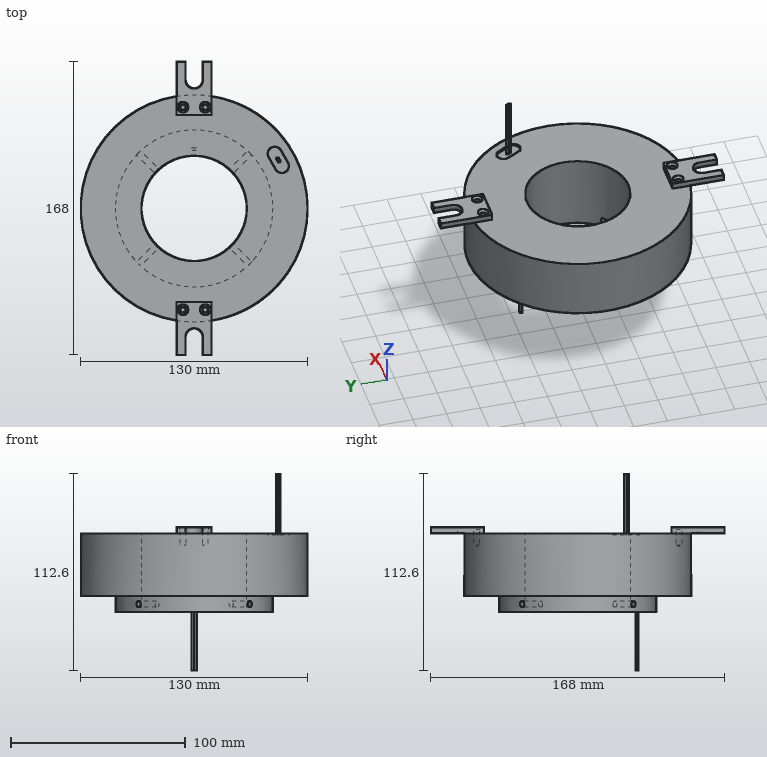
import cadquery as cq
import math

housing_radius = 65.0
housing_height = 36.0
flange_radius = 45.0
flange_height = 9.0
bore_radius = 30.0

tab_reach = 84
tab_inner_edge = 53.6
tab_width = 20.0
tab_thickness = 3.5
tab_slot_width = 9.7
tab_slot_end = 68.7

screw_spacing = 12.8
screw_distance = 58.0
screw_diameter = 3.2
screw_head_diameter = 6.0
screw_head_angle = 90
screw_depth = 10
drill_tip_angle = 118

set_screw_diameter = 3.4
set_screw_z = -flange_height / 2
set_screw_angles = (45, 135, 225, 315)

core_diameter = 1.6
core_spacing = 1.56
upper_lead_length = 34.0
lower_lead_length = 33.6
upper_lead_distance = 55.6
upper_lead_angle = 30
lower_lead_distance = 34.0
lower_lead_angle = 90

outlet_width = 8.0
outlet_length = 2 * outlet_width
outlet_depth = 1.0

tab_top = housing_height + tab_thickness
flange_bottom = -flange_height


def turn(shape, angle):
    """Swing a shape about the housing axis."""
    return shape.rotate((0, 0, 0), (0, 0, 1), angle)


def disc(radius, bottom, height):
    return cq.Workplane("XY").workplane(offset=bottom).circle(radius).extrude(height)


def make_housing():
    body = disc(housing_radius, 0, housing_height)
    body = body.union(disc(flange_radius, flange_bottom, flange_height))
    return body.cut(disc(bore_radius, flange_bottom, flange_height + housing_height))


def make_tab():
    """Tab on the +Y side, resting on the housing top, with an open-ended round-bottomed slot."""
    length = tab_reach - tab_inner_edge
    tab = (
        cq.Workplane("XY")
        .workplane(offset=housing_height)
        .center(0, (tab_reach + tab_inner_edge) / 2)
        .rect(tab_width, length)
        .extrude(tab_thickness)
    )
    half_slot = tab_slot_width / 2
    slot = (
        cq.Workplane("XY")
        .workplane(offset=housing_height)
        .moveTo(-half_slot, tab_reach)
        .lineTo(-half_slot, tab_slot_end + half_slot)
        .threePointArc((0, tab_slot_end), (half_slot, tab_slot_end + half_slot))
        .lineTo(half_slot, tab_reach)
        .close()
        .extrude(tab_thickness)
    )
    return tab.cut(slot)


def make_screw_hole(x):
    """Countersunk blind hole with a drill-point bottom, on the +Y tab."""
    radius = screw_diameter / 2
    head_radius = screw_head_diameter / 2
    head_depth = (head_radius - radius) / math.tan(math.radians(screw_head_angle / 2))
    tip_depth = radius / math.tan(math.radians(drill_tip_angle / 2))
    profile = (
        cq.Workplane("XZ")
        .moveTo(0, 0)
        .lineTo(head_radius, 0)
        .lineTo(radius, -head_depth)
        .lineTo(radius, -screw_depth)
        .lineTo(0, -screw_depth - tip_depth)
        .close()
    )
    return profile.revolve(360, (0, 0), (0, 1)).translate((x, screw_distance, tab_top))


def make_set_screw_hole(angle):
    """Radial hole from the bore through the flange wall."""
    hole = (
        cq.Workplane("YZ")
        .center(0, set_screw_z)
        .circle(set_screw_diameter / 2)
        .extrude(flange_radius)
    )
    return turn(hole, angle)


def make_lead(distance, angle, bottom, height):
    """Two parallel round cores set side by side along the tangent."""
    lead = (
        cq.Workplane("XY")
        .workplane(offset=bottom)
        .pushPoints([(distance, -core_spacing / 2), (distance, core_spacing / 2)])
        .circle(core_diameter / 2)
        .extrude(height)
    )
    return turn(lead, angle)


def make_outlet():
    outlet = (
        cq.Workplane("XY")
        .workplane(offset=housing_height - outlet_depth)
        .center(upper_lead_distance, 0)
        .slot2D(outlet_length, outlet_width, 90)
        .extrude(outlet_depth)
    )
    return turn(outlet, upper_lead_angle)


result = make_housing()

for tab_angle in (0, 180):
    result = result.union(turn(make_tab(), tab_angle))
    for screw_x in (-screw_spacing / 2, screw_spacing / 2):
        hole = make_screw_hole(screw_x)
        result = result.cut(turn(hole, tab_angle))

for set_screw_angle in set_screw_angles:
    result = result.cut(make_set_screw_hole(set_screw_angle))

result = result.cut(make_outlet())
upper_lead_bottom = housing_height - outlet_depth
upper_lead_height = upper_lead_length + outlet_depth
result = result.union(
    make_lead(upper_lead_distance, upper_lead_angle, upper_lead_bottom, upper_lead_height)
)
lower_lead_bottom = flange_bottom - lower_lead_length
result = result.union(
    make_lead(lower_lead_distance, lower_lead_angle, lower_lead_bottom, lower_lead_length)
)